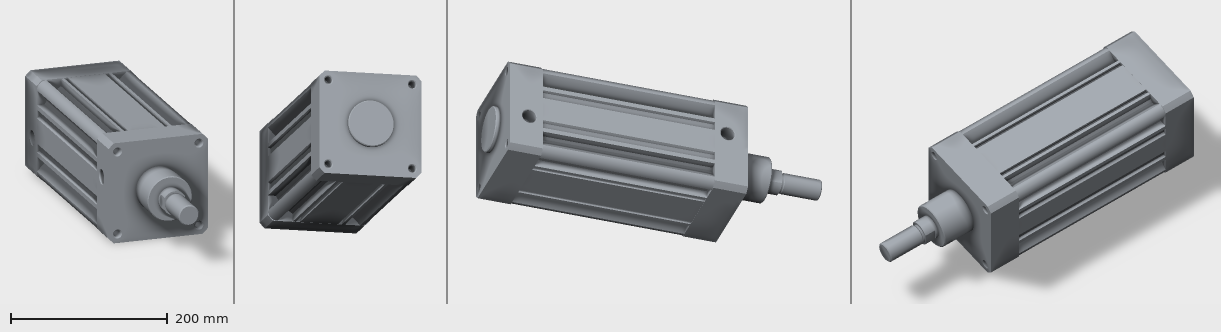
import cadquery as cq
TOTAL_LENGTH = 445.0
SPIGOT_LENGTH = 6.0
CAP_LENGTH = 44.5
FRONT_CAP_START = 282.0
REAR_CAP_END = SPIGOT_LENGTH + CAP_LENGTH
FRONT_CAP_END = FRONT_CAP_START + CAP_LENGTH
NOSE_LENGTH = 45.5
NOSE_END = FRONT_CAP_END + NOSE_LENGTH

CAP_SIZE = 134.0
CAP_TURNED_DIAMETER = 180.0
COLLAR_DIAMETER = 60.0
COLLAR_CHAMFER = 1.1
SCREW_OFFSET = 54.95
SCREW_DIAMETER = 9.5
SCREW_DEPTH = 22.2
SCREW_CHAMFER = 1.5
PORT_DIAMETER = 18.5
PORT_DEPTH = 22.2
PORT_CHAMFER = 1.0
PORT_HEIGHT = 14.5
REAR_PORT_X = 32.5
FRONT_PORT_X = 299.5

BARREL_HALF = 66.8
BARREL_CORNER_RADIUS = 12.5
GROOVE_OUTER_SIDE = BARREL_HALF - BARREL_CORNER_RADIUS
GROOVE_INNER_SIDE = 34.3
GROOVE_WALL_DEPTH = 10.2
GROOVE_ARC_OUTER_SIDE = 42.3
GROOVE_ARC_INNER_SIDE = 38.0
GROOVE_ARC_INNER_REACH = 54.5
GROOVE_FLOOR_REACH = 53.5

T_SLOT_INNER_SIDE = 25.0
T_SLOT_OUTER_SIDE = 30.3
T_SLOT_LIP = 2.5
T_SLOT_UNDERCUT = 1.5
T_SLOT_DEPTH = 7.0

SENSOR_SLOT_INNER_SIDE = 17.0
SENSOR_SLOT_OUTER_SIDE = 28.5
SENSOR_SLOT_DEPTH = 3.5
SENSOR_SLOT_INNER_RUN = 2.2
SENSOR_SLOT_OUTER_RUN = 1.5

ROD_DIAMETER = 32.0
FLATS_START = 375.5
FLATS_END = 390.5
FLATS_WIDTH = 27.0
NECK_DIAMETER = 26.0
THREAD_START = 393.5
THREAD_DIAMETER = 27.0
THREAD_CHAMFER = 1.5


def bar(start, end, diameter):
    """Round bar along X."""
    return cq.Workplane("YZ").workplane(offset=start).circle(diameter / 2).extrude(end - start)


def cap_block(start):
    """Square block with its four corners turned down to a common diameter."""
    block = cq.Workplane("YZ").workplane(offset=start).rect(CAP_SIZE, CAP_SIZE).extrude(CAP_LENGTH)
    return block.intersect(bar(start, start + CAP_LENGTH, CAP_TURNED_DIAMETER))


def chamfered_hole(origin, direction, diameter, depth, chamfer):
    """Blind hole cutter with a conical lead-in at its mouth."""
    bore = cq.Solid.makeCylinder(diameter / 2, depth, origin, direction)
    lead_in = cq.Solid.makeCone(diameter / 2 + chamfer, diameter / 2, chamfer, origin, direction)
    return cq.Workplane(bore.fuse(lead_in))


def cut_screw_holes(cap, face_x, inward):
    """Four holes in the outer end face; inward is +1 or -1 along X."""
    for y in (-SCREW_OFFSET, SCREW_OFFSET):
        for z in (-SCREW_OFFSET, SCREW_OFFSET):
            origin = cq.Vector(face_x, y, z)
            direction = cq.Vector(inward, 0, 0)
            cap = cap.cut(chamfered_hole(origin, direction, SCREW_DIAMETER, SCREW_DEPTH, SCREW_CHAMFER))
    return cap


def cut_port(cap, x, z):
    """Air port in the -Y side."""
    origin = cq.Vector(x, -CAP_SIZE / 2, z)
    direction = cq.Vector(0, 1, 0)
    return cap.cut(chamfered_hole(origin, direction, PORT_DIAMETER, PORT_DEPTH, PORT_CHAMFER))


def make_rear_cap():
    spigot = bar(0, SPIGOT_LENGTH, COLLAR_DIAMETER).faces("<X").chamfer(COLLAR_CHAMFER)
    cap = cap_block(SPIGOT_LENGTH).union(spigot)
    cap = cut_screw_holes(cap, SPIGOT_LENGTH, 1)
    return cut_port(cap, REAR_PORT_X, -PORT_HEIGHT)


def make_front_cap():
    nose = bar(FRONT_CAP_END, NOSE_END, COLLAR_DIAMETER).faces(">X").chamfer(COLLAR_CHAMFER)
    cap = cap_block(FRONT_CAP_START).union(nose)
    cap = cap.cut(bar(FRONT_CAP_START, NOSE_END, ROD_DIAMETER))
    cap = cut_screw_holes(cap, FRONT_CAP_END, -1)
    return cut_port(cap, FRONT_PORT_X, PORT_HEIGHT)


def barrel_prism(profile):
    """Extrude a closed profile over the barrel's length."""
    return profile.extrude(FRONT_CAP_START - REAR_CAP_END)


def barrel_plane():
    return cq.Workplane("YZ").workplane(offset=REAR_CAP_END)


def corner_groove():
    """V groove beside a corner of the top face: 45 degree outer wall, rounded bottom, stepped inner wall."""
    arc_outer_reach = BARREL_HALF - (GROOVE_OUTER_SIDE - GROOVE_ARC_OUTER_SIDE)
    arc_mid_side = (GROOVE_ARC_OUTER_SIDE + GROOVE_ARC_INNER_SIDE) / 2
    return barrel_prism(
        barrel_plane()
        .moveTo(GROOVE_OUTER_SIDE, BARREL_HALF)
        .lineTo(GROOVE_ARC_OUTER_SIDE, arc_outer_reach)
        .threePointArc(
            (arc_mid_side, GROOVE_FLOOR_REACH),
            (GROOVE_ARC_INNER_SIDE, GROOVE_ARC_INNER_REACH),
        )
        .lineTo(GROOVE_INNER_SIDE, BARREL_HALF - GROOVE_WALL_DEPTH)
        .lineTo(GROOVE_INNER_SIDE, BARREL_HALF)
        .close()
    )


def t_slot():
    """Slot that widens below a lip, placed on the top face."""
    lip_reach = BARREL_HALF - T_SLOT_LIP
    floor_reach = BARREL_HALF - T_SLOT_DEPTH
    wide_inner = T_SLOT_INNER_SIDE - T_SLOT_UNDERCUT
    wide_outer = T_SLOT_OUTER_SIDE + T_SLOT_UNDERCUT
    return barrel_prism(
        barrel_plane().polyline([
            (T_SLOT_INNER_SIDE, BARREL_HALF),
            (T_SLOT_INNER_SIDE, lip_reach),
            (wide_inner, lip_reach),
            (wide_inner, floor_reach),
            (wide_outer, floor_reach),
            (wide_outer, lip_reach),
            (T_SLOT_OUTER_SIDE, lip_reach),
            (T_SLOT_OUTER_SIDE, BARREL_HALF),
        ]).close()
    )


def sensor_slot():
    """Slot with sloping walls and a flat floor, placed on the top face."""
    floor_reach = BARREL_HALF - SENSOR_SLOT_DEPTH
    return barrel_prism(
        barrel_plane().polyline([
            (SENSOR_SLOT_INNER_SIDE, BARREL_HALF),
            (SENSOR_SLOT_INNER_SIDE + SENSOR_SLOT_INNER_RUN, floor_reach),
            (SENSOR_SLOT_OUTER_SIDE - SENSOR_SLOT_OUTER_RUN, floor_reach),
            (SENSOR_SLOT_OUTER_SIDE, BARREL_HALF),
        ]).close()
    )


def make_barrel():
    """Square bar with a groove and a slot on each side of every face's flat middle."""
    barrel = barrel_prism(barrel_plane().rect(2 * BARREL_HALF, 2 * BARREL_HALF))
    barrel = barrel.edges("|X").fillet(BARREL_CORNER_RADIUS)
    for quarter_turn, slot in enumerate((t_slot(), sensor_slot(), t_slot(), sensor_slot())):
        half_cut = corner_groove().union(slot)
        face_cut = half_cut.union(half_cut.mirror("XZ"))
        barrel = barrel.cut(face_cut.rotate((0, 0, 0), (1, 0, 0), 90 * quarter_turn))
    return barrel


def make_rod():
    """Rod through the front cap, with wrench flats, a relief neck and a plain end of thread size."""
    shank = bar(FRONT_CAP_START, FLATS_END, ROD_DIAMETER)
    flats_length = FLATS_END - FLATS_START
    flats_middle = (FLATS_START + FLATS_END) / 2
    flats_zone = cq.Workplane("XY").box(flats_length, 2 * ROD_DIAMETER, 2 * ROD_DIAMETER)
    flats_keep = cq.Workplane("XY").box(flats_length, FLATS_WIDTH, 2 * ROD_DIAMETER)
    shank = shank.cut(flats_zone.cut(flats_keep).translate((flats_middle, 0, 0)))
    neck = bar(FLATS_END, THREAD_START, NECK_DIAMETER)
    thread = bar(THREAD_START, TOTAL_LENGTH, THREAD_DIAMETER).faces("<X or >X").chamfer(THREAD_CHAMFER)
    return shank.union(neck).union(thread)


rear_cap = make_rear_cap()
barrel = make_barrel()
front_cap = make_front_cap()
rod = make_rod()

result = cq.Compound.makeCompound([rear_cap.val(), barrel.val(), front_cap.val(), rod.val()])